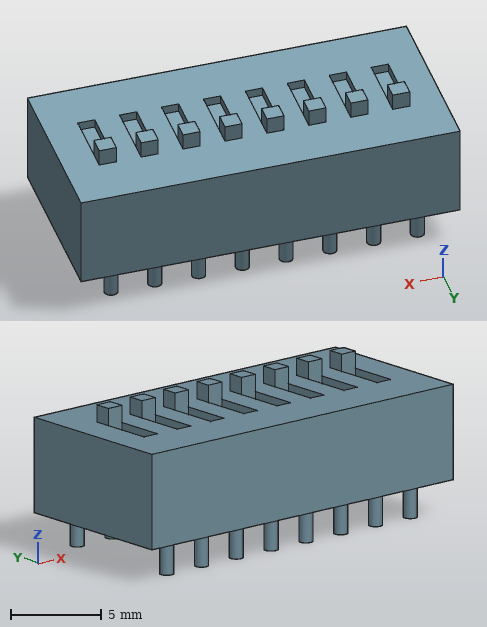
import cadquery as cq

body_length = 22.0
body_width = 10.0
body_height = 5.5

switch_count = 8
switch_row_span = 17.03
switch_pitch = switch_row_span / (switch_count - 1)
slot_width = 1.0
slot_length = 4.0
slot_depth = 0.5
actuator_size = slot_width
actuator_rise = 1.0

pin_diameter = 0.8
pin_length = 2.0
pin_row_span = 17.78
pin_pitch = pin_row_span / (switch_count - 1)
pin_row_spacing = 7.61


def row_positions(pitch, y):
    """Points of one row along X, one per switch position, centred on X = 0."""
    first_x = -pitch * (switch_count - 1) / 2
    return [(first_x + index * pitch, y) for index in range(switch_count)]


def housing():
    return cq.Workplane("XY").box(body_length, body_width, body_height, centered=(True, True, False))


def slots():
    return (
        cq.Workplane("XY")
        .workplane(offset=body_height - slot_depth)
        .pushPoints(row_positions(switch_pitch, 0))
        .rect(slot_width, slot_length)
        .extrude(slot_depth)
    )


def actuators():
    """Square posts standing on the slot floors, against the +Y slot ends."""
    actuator_y = (slot_length - actuator_size) / 2
    return (
        cq.Workplane("XY")
        .workplane(offset=body_height - slot_depth)
        .pushPoints(row_positions(switch_pitch, actuator_y))
        .rect(actuator_size, actuator_size)
        .extrude(slot_depth + actuator_rise)
    )


def pins():
    half_spacing = pin_row_spacing / 2
    front_row = row_positions(pin_pitch, -half_spacing)
    rear_row = row_positions(pin_pitch, half_spacing)
    return (
        cq.Workplane("XY")
        .pushPoints(front_row + rear_row)
        .circle(pin_diameter / 2)
        .extrude(-pin_length)
    )


result = housing().cut(slots()).union(actuators()).union(pins())